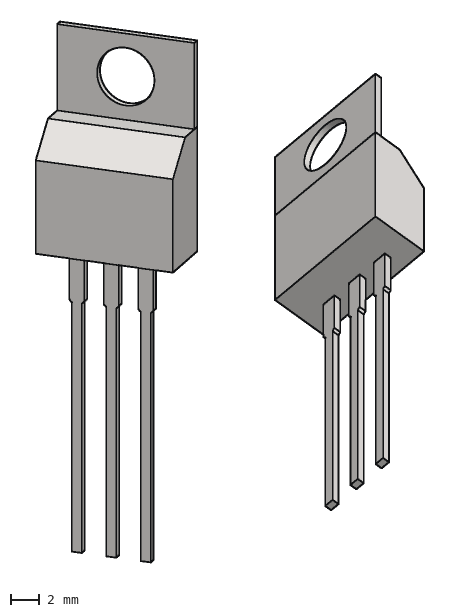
import cadquery as cq

total_height = 37.6
width = 10.2

housing_depth = 4.6
housing_height = 9.17
housing_chamfer = 2.3

tab_height = 6.35
tab_thickness = 0.55
hole_diameter = 4.25

lead_count = 3
lead_pitch = 2.55
lead_thickness = 0.55
lead_back_offset = 3.0
lead_length = total_height - housing_height - tab_height
wide_width = 1.13
narrow_width = 0.75
wide_length = 3.55
taper_length = 0.2


def make_housing():
    """Block with its upper front edge cut off at 45 degrees."""
    return (
        cq.Workplane("YZ", origin=(-width / 2, 0, 0))
        .lineTo(0, housing_height)
        .lineTo(housing_chamfer - housing_depth, housing_height)
        .lineTo(-housing_depth, housing_height - housing_chamfer)
        .lineTo(-housing_depth, 0)
        .close()
        .extrude(width)
    )


def make_tab():
    """Flat plate with a central through hole."""
    return (
        cq.Workplane("XZ", origin=(0, 0, housing_height + tab_height / 2))
        .rect(width, tab_height)
        .circle(hole_diameter / 2)
        .extrude(tab_thickness)
    )


def make_lead(x):
    """Flat lead hanging below the housing, tapering from a wide to a narrow stretch."""
    front_y = -lead_back_offset - lead_thickness / 2
    taper_end = wide_length + taper_length
    return (
        cq.Workplane("XZ", origin=(x, front_y, 0))
        .lineTo(wide_width / 2, 0)
        .lineTo(wide_width / 2, -wide_length)
        .lineTo(narrow_width / 2, -taper_end)
        .lineTo(narrow_width / 2, -lead_length)
        .lineTo(0, -lead_length)
        .mirrorY()
        .extrude(-lead_thickness)
    )


housing = make_housing()
tab = make_tab()
leads = []
for index in range(lead_count):
    lead_x = (index - (lead_count - 1) / 2) * lead_pitch
    leads.append(make_lead(lead_x).val())

result = cq.Compound.makeCompound([housing.val(), tab.val(), *leads])